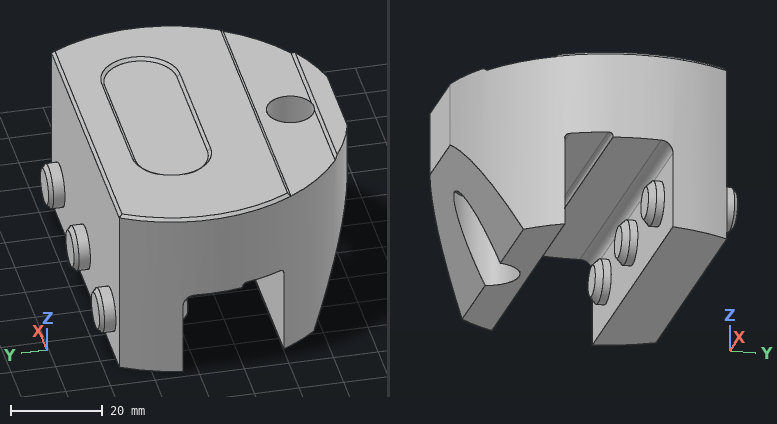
import cadquery as cq
import math

body_radius = 38.5
height = 40.0
rear_y = 19.25
front_y = -37.3

slope_foot_y = -25.4
slope_top_z = 25.65

slot_rear_y = 6.0
slot_front_y = -17.4
roof_z = 19.9
raised_roof_z = 21.0
roof_step_y = -7.4
slot_rear_fillet = 2.7
slot_front_fillet = 1.0

step_depth = 0.7
groove_rear_y = -19.25
groove_front_y = -31.8

recess_x = 3.0
recess_y = 2.7
recess_length = 47.4
recess_width = 17.55

hole_y = -26.7
hole_diameter = 10.5
counterbore_diameter = 14.5
counterbore_height = 20.0

pin_diameter = 10.0
pin_spacing = 25.0
pin_z = 10.0
pin_rear_y = 22.7
pin_front_y = 2.8
pin_rear_chamfer = 0.9
pin_front_chamfer = 1.5


def prism_along_x(profile):
    """Extrude a closed YZ profile across the full width of the body."""
    return profile.close().extrude(body_radius, both=True)


def half_chord(y):
    return math.sqrt(body_radius**2 - y**2)


def disc_segment(back, front, base_z, thickness):
    """Part of the disc between two planes of constant Y."""
    return (
        cq.Workplane("XY", origin=(0, 0, base_z))
        .moveTo(-half_chord(back), back)
        .lineTo(half_chord(back), back)
        .threePointArc((body_radius, 0), (half_chord(front), front))
        .lineTo(-half_chord(front), front)
        .threePointArc((-body_radius, 0), (-half_chord(back), back))
        .close()
        .extrude(thickness)
    )


def make_body():
    floor_z = height - step_depth
    lower = disc_segment(rear_y, front_y, 0, height)
    lower = lower.cut(
        prism_along_x(
            cq.Workplane("YZ")
            .moveTo(rear_y, height)
            .lineTo(rear_y, floor_z)
            .lineTo(groove_front_y, floor_z)
            .lineTo(groove_front_y - step_depth, height)
        )
    )
    pad_overlap = 0.8
    pad = disc_segment(rear_y, groove_rear_y, floor_z - pad_overlap, step_depth + pad_overlap)
    return lower.union(pad.faces(">Z").chamfer(step_depth))


def make_slope():
    return prism_along_x(
        cq.Workplane("YZ")
        .moveTo(slope_foot_y, 0)
        .lineTo(front_y, slope_top_z)
        .lineTo(front_y, 0)
    )


def make_slot():
    rear, front = slot_rear_fillet, slot_front_fillet
    return prism_along_x(
        cq.Workplane("YZ")
        .moveTo(slot_rear_y, 0)
        .lineTo(slot_rear_y, roof_z - rear)
        .radiusArc((slot_rear_y - rear, roof_z), -rear)
        .lineTo(roof_step_y, roof_z)
        .lineTo(roof_step_y, raised_roof_z - front)
        .radiusArc((roof_step_y - front, raised_roof_z), -front)
        .lineTo(slot_front_y + front, raised_roof_z)
        .radiusArc((slot_front_y, raised_roof_z - front), -front)
        .lineTo(slot_front_y, 0)
    )


def make_recess():
    """Obround cutter that narrows with depth to give a bevelled rim."""
    return (
        cq.Workplane("XY", origin=(recess_x, recess_y, height))
        .slot2D(recess_length, recess_width)
        .extrude(-step_depth, taper=45)
    )


def make_screw_hole():
    base = cq.Workplane("XY", origin=(0, hole_y, 0))
    hole = base.circle(hole_diameter / 2).extrude(height)
    return hole.union(base.circle(counterbore_diameter / 2).extrude(counterbore_height))


def make_pin(x):
    return (
        cq.Workplane("XZ", origin=(x, pin_rear_y, pin_z))
        .circle(pin_diameter / 2)
        .extrude(pin_rear_y - pin_front_y)
        .faces(">Y")
        .chamfer(pin_rear_chamfer)
        .faces("<Y")
        .chamfer(pin_front_chamfer)
    )


result = make_body().cut(make_slope()).cut(make_slot()).cut(make_recess()).cut(make_screw_hole())
for pin_x in (-pin_spacing, 0, pin_spacing):
    result = result.union(make_pin(pin_x))